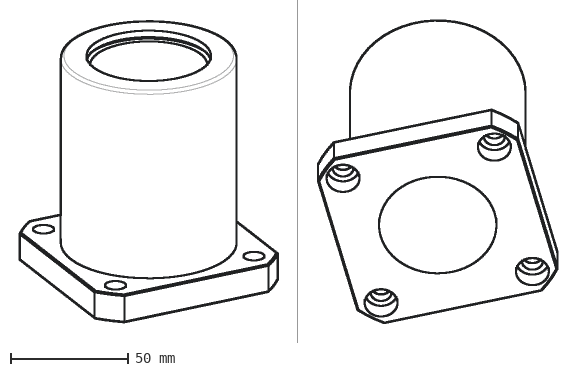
import cadquery as cq

flange_diameter = 111.9
flange_side = 88.0
flange_thickness = 13.0
flange_chamfer = 0.5

total_height = 100.0
sleeve_diameter = 75.0
sleeve_rim_radius = 1.3
bore_diameter = 50.0

lip_diameter = 53.0
lip_height = 3.0
groove_diameter = 56.0
groove_width = 1.3

screw_count = 4
screw_circle_diameter = 94.0
screw_diameter = 9.0
screw_head_diameter = 14.0
screw_head_depth = 8.0


def cylinder(diameter, bottom, height):
    """Solid cylinder on the Z axis, rising from the given level."""
    return cq.Workplane("XY").workplane(offset=bottom).circle(diameter / 2).extrude(height)


def make_flange():
    square = (
        cq.Workplane("XY")
        .transformed(rotate=(0, 0, 45))
        .rect(flange_side, flange_side)
        .extrude(flange_thickness)
    )
    flange = square.intersect(cylinder(flange_diameter, 0, flange_thickness))
    return flange.faces("<Z or >Z").edges().chamfer(flange_chamfer)


def make_sleeve():
    return cylinder(sleeve_diameter, 0, total_height).faces(">Z").edges().fillet(sleeve_rim_radius)


def cut_bore(body):
    lip_bottom = total_height - lip_height
    groove_bottom = lip_bottom - groove_width
    body = body.cut(cylinder(bore_diameter, 0, total_height))
    body = body.cut(cylinder(lip_diameter, lip_bottom, lip_height))
    return body.cut(cylinder(groove_diameter, groove_bottom, groove_width))


def cut_screw_holes(body):
    for diameter, depth in (
        (screw_diameter, flange_thickness),
        (screw_head_diameter, screw_head_depth),
    ):
        holes = (
            cq.Workplane("XY")
            .polarArray(screw_circle_diameter / 2, 0, 360, screw_count)
            .circle(diameter / 2)
            .extrude(depth)
        )
        body = body.cut(holes)
    return body


result = cut_screw_holes(cut_bore(make_flange().union(make_sleeve())))